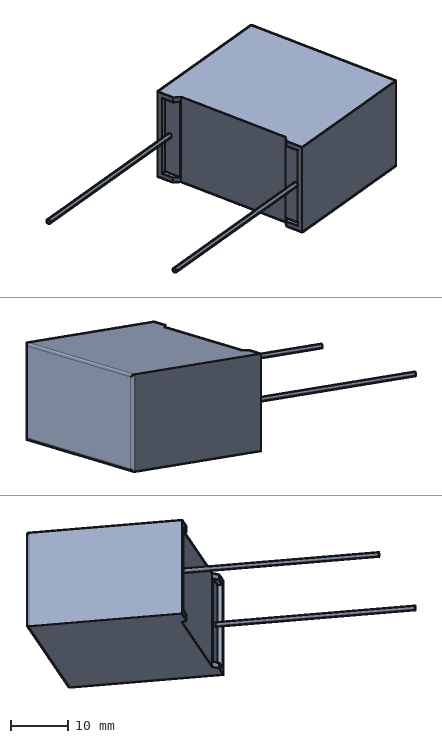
import cadquery as cq

total_length = 63.0
case_width = 31.5
case_height = 17.5
case_length = 28.05
wall = 1.0
back_edge_radius = 0.5

foot_width = 3.4
step_depth = 1.0

resin_recess = 0.9

lead_diameter = 0.8
lead_pitch = 27.45
lead_embed = 2.0

back_y = total_length / 2
foot_y = back_y - case_length
step_y = foot_y + step_depth
resin_y = foot_y + resin_recess
lead_tip_y = -total_length / 2
lead_end_y = resin_y + lead_embed
half_width = case_width / 2
foot_edge_x = half_width - foot_width
step_edge_x = foot_edge_x - step_depth

cavity_width = case_width - 2 * wall
cavity_height = case_height - 2 * wall
cavity_front_y = step_y + wall
cavity_back_y = back_y - wall

window_outer_x = half_width - wall
window_inner_x = foot_edge_x - resin_recess
window_width = window_outer_x - window_inner_x
window_center_x = (window_outer_x + window_inner_x) / 2

sides = (-1, 1)


def box_along_y(width, height, y_start, y_end, center_x=0.0):
    """Box centred on Z = 0 that spans y_start to y_end."""
    length = y_end - y_start
    return cq.Workplane("XY").box(width, length, height).translate((center_x, y_start + length / 2, 0))


def make_filling(front_y):
    """Cavity contents, with a branch through each window up to front_y."""
    filling = box_along_y(cavity_width, cavity_height, cavity_front_y, cavity_back_y)
    for side in sides:
        branch = box_along_y(window_width, cavity_height, front_y, cavity_front_y, side * window_center_x)
        filling = filling.union(branch)
    return filling


def make_case():
    """Hollow case with a stepped lead face and a window in each foot."""
    outline = [
        (-half_width, back_y),
        (-half_width, foot_y),
        (-foot_edge_x, foot_y),
        (-step_edge_x, step_y),
        (step_edge_x, step_y),
        (foot_edge_x, foot_y),
        (half_width, foot_y),
        (half_width, back_y),
    ]
    block = cq.Workplane("XY").polyline(outline).close().extrude(case_height / 2, both=True)
    block = block.faces(">Y").edges().fillet(back_edge_radius)
    return block.cut(make_filling(foot_y))


def make_lead(center_x):
    """Round wire from its free tip to its embedded end."""
    wire = cq.Workplane("XZ", origin=(center_x, lead_end_y, 0)).circle(lead_diameter / 2)
    return wire.extrude(lead_end_y - lead_tip_y)


def make_resin(leads):
    """Resin that fills the case, with a blind hole for each lead."""
    resin = make_filling(resin_y)
    for lead in leads:
        resin = resin.cut(lead)
    return resin


leads = [make_lead(side * lead_pitch / 2) for side in sides]
case = make_case()
resin = make_resin(leads)

result = cq.Compound.makeCompound([case.solids().val(), resin.solids().val(), *[lead.val() for lead in leads]])